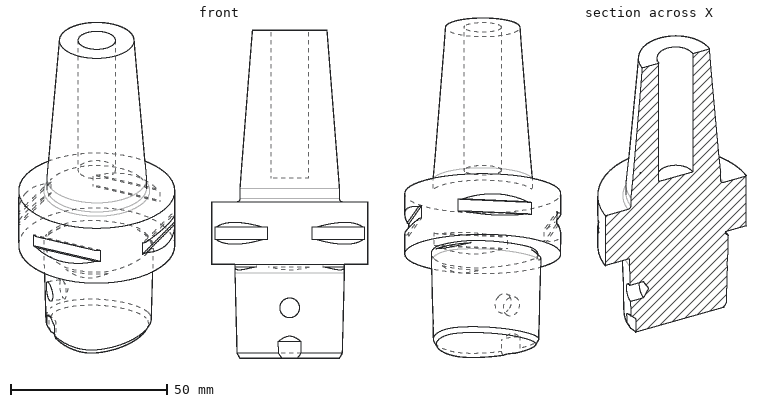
import cadquery as cq
import math

total_height = 105.0
shank_length = 30.0
flange_height = 20.1
flange_top = shank_length + flange_height

flange_diameter = 50.0
flange_radius = flange_diameter / 2

nose_tip_radius = 12.0
nose_base_radius = 16.0
nose_cone_start = 54.4
nose_fillet = 1.0
bore_diameter = 12.0
bore_depth = 47.2

shank_radius = 17.5
lobe_height = 1.1
shank_taper = 1 / 40
straight_length = 2.7
end_chamfer_height = 1.7
end_chamfer_width = 0.9
curve_points = 72

relief_radius = 17.6
relief_height = 0.7

slot_count = 4
slot_first_angle = 45
slot_floor_distance = 21.9
slot_floor_height = 4.0
slot_center_height = 40.0
slot_wall_depth = 0.7
slot_flank_angle = 33

dimple_radius = 3.2
dimple_height = 16.2
dimple_tip_distance = 9.7
dimple_cone_start = 11.4

notch_radius = 5.5
notch_axis_distance = 19.6
notch_height = 5.4
notch_cone_angle = 45


def polygon_wire(mean_radius, height):
    """Closed three-lobed curve; a change of mean radius offsets it evenly."""
    def point(fraction):
        normal = 2 * math.pi * fraction - math.pi / 2
        from_lobe = 3 * (normal - math.pi / 2)
        support = mean_radius + lobe_height * math.cos(from_lobe)
        slide = -3 * lobe_height * math.sin(from_lobe)
        x = support * math.cos(normal) - slide * math.sin(normal)
        y = support * math.sin(normal) + slide * math.cos(normal)
        return cq.Vector(x, y, height)

    points = [point(i / curve_points) for i in range(curve_points)]
    edge = cq.Edge.makeSpline(points, periodic=True)
    return cq.Wire.assembleEdges([edge])


def polygon_section(bottom_radius, bottom, top_radius, top):
    wires = [polygon_wire(bottom_radius, bottom), polygon_wire(top_radius, top)]
    return cq.Workplane(cq.Solid.makeLoft(wires, True))


def revolve_profile(profile):
    return profile.close().revolve(360, (0, 0, 0), (0, 1, 0))


def make_shank():
    taper_top = shank_length - straight_length
    taper_end_radius = shank_radius - shank_taper * (taper_top - end_chamfer_height)
    tip_radius = taper_end_radius - end_chamfer_width
    chamfer = polygon_section(tip_radius, 0, taper_end_radius, end_chamfer_height)
    taper = polygon_section(taper_end_radius, end_chamfer_height, shank_radius, taper_top)
    straight = polygon_section(shank_radius, taper_top, shank_radius, shank_length)
    return chamfer.union(taper).union(straight)


def make_relief():
    """Ring with a 45 degree lower face that trims only the lobes."""
    reach = flange_radius - relief_radius
    cone_top = shank_length - relief_height
    return revolve_profile(
        cq.Workplane("XZ")
        .moveTo(relief_radius, shank_length)
        .lineTo(relief_radius, cone_top)
        .lineTo(flange_radius, cone_top - reach)
        .lineTo(flange_radius, shank_length)
    )


def make_flange_and_nose():
    mid_arc = nose_fillet * (1 - math.sqrt(0.5))
    return revolve_profile(
        cq.Workplane("XZ")
        .moveTo(0, shank_length)
        .lineTo(flange_radius, shank_length)
        .lineTo(flange_radius, flange_top)
        .lineTo(nose_base_radius + nose_fillet, flange_top)
        .threePointArc(
            (nose_base_radius + mid_arc, flange_top + mid_arc),
            (nose_base_radius, flange_top + nose_fillet),
        )
        .lineTo(nose_base_radius, nose_cone_start)
        .lineTo(nose_tip_radius, total_height)
        .lineTo(0, total_height)
    )


def make_bore():
    return (
        cq.Workplane("XY", origin=(0, 0, total_height - bore_depth))
        .circle(bore_diameter / 2)
        .extrude(bore_depth)
    )


def make_slot(angle):
    """Flat-floored slot with short parallel walls and flanks that widen outward."""
    flank_start = slot_floor_distance + slot_wall_depth
    flank_depth = flange_radius - flank_start
    inner = slot_floor_height / 2
    outer = inner + flank_depth * math.tan(math.radians(slot_flank_angle))
    return (
        cq.Workplane("XZ", origin=(0, 0, slot_center_height))
        .moveTo(slot_floor_distance, -inner)
        .lineTo(flank_start, -inner)
        .lineTo(flange_radius, -outer)
        .lineTo(flange_radius, outer)
        .lineTo(flank_start, inner)
        .lineTo(slot_floor_distance, inner)
        .close()
        .extrude(flange_radius, both=True)
        .rotate((0, 0, 0), (0, 0, 1), angle)
    )


def make_dimple():
    """Round hole along Y with a conical bottom."""
    return (
        cq.Workplane("XY")
        .moveTo(0, -dimple_tip_distance)
        .lineTo(dimple_radius, -dimple_cone_start)
        .lineTo(dimple_radius, -flange_radius)
        .lineTo(0, -flange_radius)
        .close()
        .revolve(360, (0, 0, 0), (0, 1, 0))
        .translate((0, 0, dimple_height))
    )


def make_notch():
    """Vertical round cut with a conical end, centred outside the shank."""
    cone_height = notch_radius * math.tan(math.radians(notch_cone_angle))
    return revolve_profile(
        cq.Workplane("XZ")
        .moveTo(0, 0)
        .lineTo(notch_radius, 0)
        .lineTo(notch_radius, notch_height)
        .lineTo(0, notch_height + cone_height)
    ).translate((0, -notch_axis_distance, 0))


shank = make_shank().cut(make_relief()).cut(make_dimple()).cut(make_notch())
result = make_flange_and_nose().union(shank).cut(make_bore())
for i in range(slot_count):
    result = result.cut(make_slot(slot_first_angle + i * 360 / slot_count))